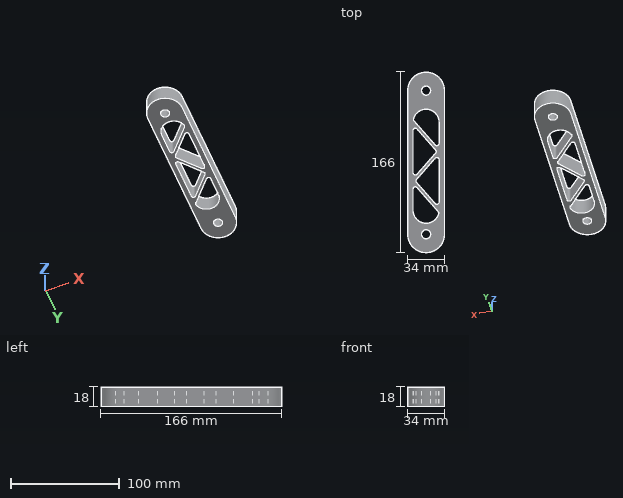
import cadquery as cq
import math

length = 166.0
width = 34.0
thickness = 18.0
hole_diameter = 8.1
hole_spacing = length - width

wall = 5.1
window_width = width - 2 * wall
window_length = 104.5
window_offset = -3.5
strut_width = 3.0
strut_count = 3
corner_radius = 2.0

half_window = window_width / 2
arc_center_y = (window_length - window_width) / 2
node_pitch = 2 * arc_center_y / strut_count


def rounded_bar(bar_length, bar_width):
    """Bar with semicircular ends, lying along Y and centred on the origin."""
    return cq.Workplane("XY").slot2D(bar_length, bar_width, 90).extrude(thickness)


def strut(index):
    """Diagonal strut joining two successive zigzag nodes on opposite window walls."""
    side = 1 if index % 2 == 0 else -1
    middle_y = arc_center_y - (index + 0.5) * node_pitch
    angle = math.degrees(math.atan2(-side * node_pitch, window_width))
    strut_length = 2 * math.hypot(window_width, node_pitch)
    return (
        cq.Workplane("XY")
        .center(0, middle_y)
        .transformed(rotate=(0, 0, angle))
        .rect(strut_length, strut_width)
        .extrude(thickness)
    )


def is_sharp_corner(edge):
    """False where an end arc runs tangentially into a straight window wall."""
    tolerance = 0.002
    point = edge.Center()
    on_wall = abs(abs(point.x) - half_window) < tolerance
    at_arc_end = abs(abs(point.y) - arc_center_y) < tolerance
    return not (on_wall and at_arc_end)


def window_openings():
    """Openings left between the struts, with their sharp corners rounded."""
    openings = rounded_bar(window_length, window_width)
    for index in range(strut_count):
        openings = openings.cut(strut(index))
    corners = openings.edges("|Z").filter(is_sharp_corner)
    return corners.fillet(corner_radius).translate((0, window_offset, 0))


bar = rounded_bar(length, width)
bar = (
    bar.faces(">Z")
    .workplane(origin=(0, 0, thickness))
    .pushPoints([(0, hole_spacing / 2), (0, -hole_spacing / 2)])
    .hole(hole_diameter)
)
result = bar.cut(window_openings())